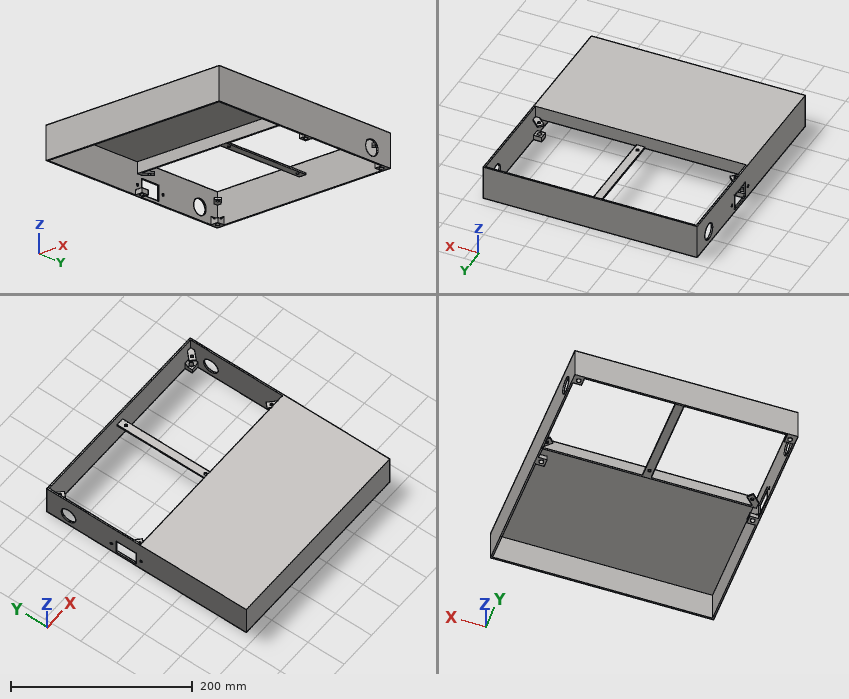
import cadquery as cq
import math

LENGTH_X = 261.0
LENGTH_Y = 276.0
HEIGHT = 42.0
WALL = 2.0
DECK_THICKNESS = 2.0
WINDOW_Y = 127.0

INNER_X = LENGTH_X - 2 * WALL
INNER_Y = LENGTH_Y - 2 * WALL
WINDOW_BACK = LENGTH_Y - WALL
WINDOW_FRONT = WINDOW_BACK - WINDOW_Y
CENTER_X = LENGTH_X / 2

SEAT_TOP = 28.0
SEAT_THICKNESS = 2.0
SEAT_BOTTOM = SEAT_TOP - SEAT_THICKNESS
BAR_WIDTH = 10.2
TAB_WIDTH = 8.0
TAB_LENGTH = 17.5
TAB_HOLE_INSET = 8.5
SEAT_HOLE_DIAMETER = 3.5

POST_SIZE = 10.0
POST_HEIGHT = 6.0
POST_HOLE_DIAMETER = 5.0
GUSSET_HEIGHT = 4.0
GUSSET_REACH = 4.0

SIDE_HOLE_DIAMETER = 20.0
SIDE_HOLE_FROM_BACK = 30.0
SIDE_HOLE_Y = LENGTH_Y - SIDE_HOLE_FROM_BACK
SIDE_HOLE_Z = 16.0

INLET_FROM_BACK = 109.8
INLET_Y = LENGTH_Y - INLET_FROM_BACK
INLET_Z = 13.0
INLET_WIDTH = 27.5
INLET_HEIGHT = 19.0
INLET_SCREW_SPACING = 41.0
INLET_SCREW_DIAMETER = 3.0


def block(x, y, z, size_x, size_y, size_z):
    """Box whose lowest corner is at (x, y, z)."""
    return cq.Workplane("XY").box(size_x, size_y, size_z, centered=False).translate((x, y, z))


def vertical_hole(x, y, z, diameter, depth):
    """Cylinder standing on (x, y, z)."""
    return cq.Workplane("XY").circle(diameter / 2).extrude(depth).translate((x, y, z))


def cross_hole(y, z, diameter, depth):
    """Cylinder along +X, starting at the -X side."""
    return cq.Workplane("YZ").center(y, z).circle(diameter / 2).extrude(depth)


def make_shell():
    outside = block(0, 0, 0, LENGTH_X, LENGTH_Y, HEIGHT)
    cavity = block(WALL, WALL, 0, INNER_X, INNER_Y, HEIGHT - DECK_THICKNESS)
    window = block(WALL, WINDOW_FRONT, 0, INNER_X, WINDOW_Y, HEIGHT)
    lip = block(WALL, WINDOW_FRONT - WALL, SEAT_BOTTOM, INNER_X, WALL, HEIGHT - SEAT_BOTTOM)
    return outside.cut(cavity).cut(window).union(lip)


def make_bar():
    bar = block(CENTER_X - BAR_WIDTH / 2, WINDOW_FRONT, SEAT_BOTTOM, BAR_WIDTH, WINDOW_Y, SEAT_THICKNESS)
    for y in (WINDOW_FRONT + TAB_HOLE_INSET, WINDOW_BACK - TAB_HOLE_INSET):
        bar = bar.cut(vertical_hole(CENTER_X, y, SEAT_BOTTOM, SEAT_HOLE_DIAMETER, SEAT_THICKNESS))
    return bar


def make_tab(side_x, side_y):
    """Diagonal tab in the window corner on the given sides (-1 or +1)."""
    corner_x = CENTER_X + side_x * INNER_X / 2
    corner_y = WINDOW_BACK if side_y > 0 else WINDOW_FRONT
    inward_angle = math.degrees(math.atan2(-side_y, -side_x))
    strip = (
        cq.Workplane("XY")
        .box(2 * TAB_LENGTH, TAB_WIDTH, SEAT_THICKNESS, centered=(True, True, False))
        .rotate((0, 0, 0), (0, 0, 1), inward_angle)
        .translate((corner_x, corner_y, SEAT_BOTTOM))
    )
    tab = strip.intersect(block(WALL, WINDOW_FRONT, SEAT_BOTTOM, INNER_X, WINDOW_Y, SEAT_THICKNESS))
    hole_x = corner_x - side_x * TAB_HOLE_INSET
    hole_y = corner_y - side_y * TAB_HOLE_INSET
    return tab.cut(vertical_hole(hole_x, hole_y, SEAT_BOTTOM, SEAT_HOLE_DIAMETER, SEAT_THICKNESS))


def make_post(side_x, center_y):
    """Square post against the side wall, with a screw hole along its axis."""
    center_x = CENTER_X + side_x * (INNER_X - POST_SIZE) / 2
    post = block(center_x - POST_SIZE / 2, center_y - POST_SIZE / 2, 0, POST_SIZE, POST_SIZE, POST_HEIGHT)
    return post.cut(vertical_hole(center_x, center_y, 0, POST_HOLE_DIAMETER, POST_HEIGHT))


def make_back_post(side_x):
    """Back corner post, with a sloped gusset on its top along each of the two walls."""
    wall_x = CENTER_X + side_x * INNER_X / 2
    center_x = wall_x - side_x * POST_SIZE / 2
    center_y = WINDOW_BACK - POST_SIZE / 2
    gusset_top = POST_HEIGHT + GUSSET_HEIGHT
    side_gusset = (
        cq.Workplane("XZ")
        .moveTo(wall_x, POST_HEIGHT)
        .lineTo(wall_x - side_x * GUSSET_REACH, POST_HEIGHT)
        .lineTo(wall_x, gusset_top)
        .close()
        .extrude(POST_SIZE)
        .translate((0, WINDOW_BACK, 0))
    )
    back_gusset = (
        cq.Workplane("YZ")
        .moveTo(WINDOW_BACK, POST_HEIGHT)
        .lineTo(WINDOW_BACK - GUSSET_REACH, POST_HEIGHT)
        .lineTo(WINDOW_BACK, gusset_top)
        .close()
        .extrude(POST_SIZE)
        .translate((center_x - POST_SIZE / 2, 0, 0))
    )
    post = make_post(side_x, center_y).union(side_gusset).union(back_gusset)
    return post.cut(vertical_hole(center_x, center_y, 0, POST_HOLE_DIAMETER, gusset_top))


def make_inlet_cutter():
    cutter = block(0, INLET_Y - INLET_WIDTH / 2, INLET_Z - INLET_HEIGHT / 2, WALL, INLET_WIDTH, INLET_HEIGHT)
    for side in (-1, 1):
        screw_y = INLET_Y + side * INLET_SCREW_SPACING / 2
        cutter = cutter.union(cross_hole(screw_y, INLET_Z, INLET_SCREW_DIAMETER, WALL))
    return cutter


case = make_shell().union(make_bar())
for side_x in (-1, 1):
    for side_y in (-1, 1):
        case = case.union(make_tab(side_x, side_y))
    case = case.union(make_back_post(side_x))
    case = case.union(make_post(side_x, WINDOW_FRONT))

case = case.cut(cross_hole(SIDE_HOLE_Y, SIDE_HOLE_Z, SIDE_HOLE_DIAMETER, LENGTH_X))
result = case.cut(make_inlet_cutter())